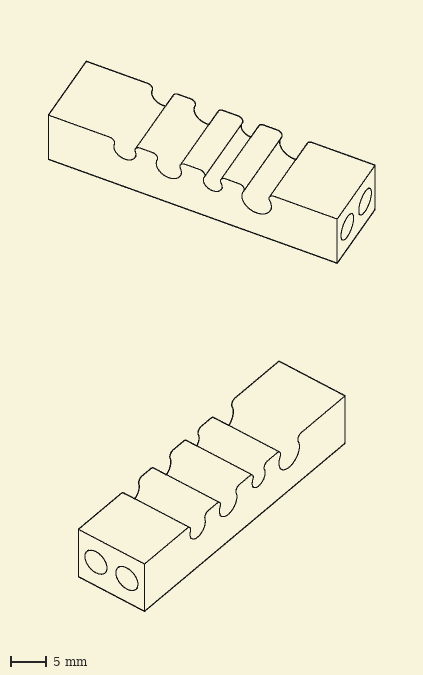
import cadquery as cq
import math

length = 46.0
width = 12.0
height = 9.0

first_slot_x = 12.2
slot_pitch = 7.0
lip_radius = 0.805
slots = [
    (3.5, 3.35),
    (4.0, 3.9),
    (3.0, 3.35),
    (4.7, 4.65),
]

end_hole_diameter = 4.0
end_hole_spacing = 5.6
end_hole_depth = 5.0


def slot_cutter(center_x, bore_diameter, depth):
    """Round bore opening upward between rounded lips that are tangent to it."""
    bore_radius = bore_diameter / 2
    bore_z = height - depth + bore_radius
    lip_z = height - lip_radius

    center_distance = bore_radius + lip_radius
    lip_x = math.sqrt(center_distance**2 - (lip_z - bore_z) ** 2)
    neck_x = lip_x - lip_radius
    tangent_x = lip_x * bore_radius / center_distance
    tangent_z = bore_z + (lip_z - bore_z) * bore_radius / center_distance

    return (
        cq.Workplane("XZ", origin=(center_x, width / 2, 0))
        .moveTo(-lip_x, height)
        .lineTo(lip_x, height)
        .threePointArc((neck_x, lip_z), (tangent_x, tangent_z))
        .threePointArc((0, height - depth), (-tangent_x, tangent_z))
        .threePointArc((-neck_x, lip_z), (-lip_x, height))
        .close()
        .extrude(width)
    )


def end_holes(start_x):
    """Pair of holes running along +X from start_x at mid height."""
    return (
        cq.Workplane("YZ", origin=(start_x, 0, height / 2))
        .pushPoints([(-end_hole_spacing / 2, 0), (end_hole_spacing / 2, 0)])
        .circle(end_hole_diameter / 2)
        .extrude(end_hole_depth)
    )


result = cq.Workplane("XY").box(length, width, height, centered=(False, True, False))

for index, (bore_diameter, depth) in enumerate(slots):
    center_x = first_slot_x + index * slot_pitch
    result = result.cut(slot_cutter(center_x, bore_diameter, depth))

for start_x in (0, length - end_hole_depth):
    result = result.cut(end_holes(start_x))